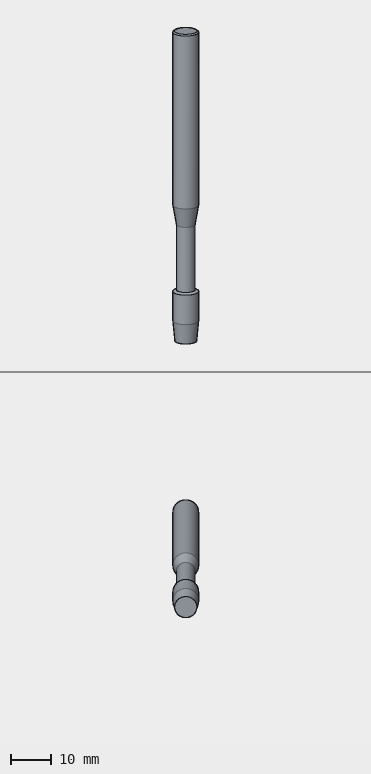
import cadquery as cq

total_length = 80.0
body_radius = 3.2
neck_radius = 2.3
tip_radius = 2.7

lead_length = 5.2
head_shoulder_z = 12.8
head_top_z = 13.2
neck_top_z = 30.0
shank_bottom_z = 35.0

end_chamfer_width = 0.4
end_chamfer_height = 0.3


def revolve_profile(points):
    """Revolve a closed (radius, height) outline around the Z axis."""
    return cq.Workplane("XZ").polyline(points).close().revolve(360, (0, 0), (0, 1))


def make_cutting_head():
    """Cutting head: tapered lead, cylinder and sloped shoulder."""
    return revolve_profile([
        (0, 0),
        (tip_radius, 0),
        (body_radius, lead_length),
        (body_radius, head_shoulder_z),
        (neck_radius, head_top_z),
        (0, head_top_z),
    ])


def make_shank():
    """Neck, cone and chamfered shank, seated on the flat top of the head."""
    return revolve_profile([
        (0, head_top_z),
        (neck_radius, head_top_z),
        (neck_radius, neck_top_z),
        (body_radius, shank_bottom_z),
        (body_radius, total_length - end_chamfer_height),
        (body_radius - end_chamfer_width, total_length),
        (0, total_length),
    ])


cutting_head = make_cutting_head()
shank = make_shank()

result = cq.Compound.makeCompound([cutting_head.val(), shank.val()])